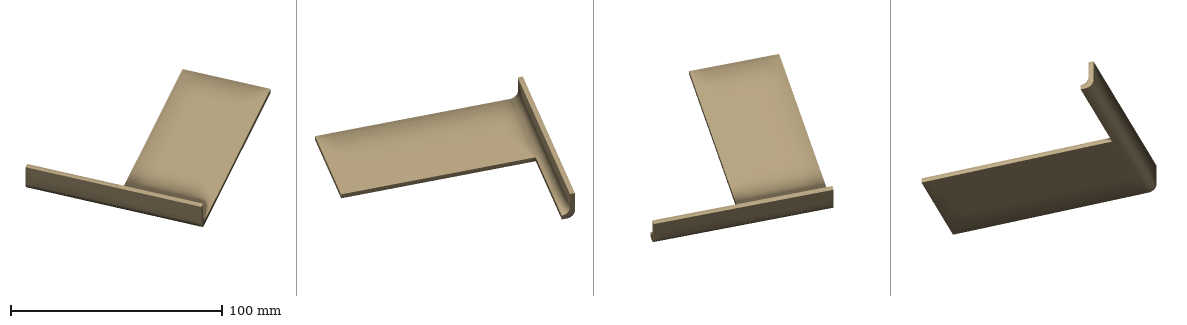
import cadquery as cq

flange_width = 88.0
overall_depth = 102.5
flange_height = 15.0

thickness = 2.5
inner_radius = 4.0
outer_radius = 4.0
bend_depth = thickness + inner_radius

plate_width = flange_width / 2


def make_flange():
    """Upright flange with a rounded bend, extruded along X."""
    return (
        cq.Workplane("YZ")
        .moveTo(bend_depth, 0)
        .lineTo(outer_radius, 0)
        .radiusArc((0, outer_radius), outer_radius)
        .lineTo(0, flange_height)
        .lineTo(thickness, flange_height)
        .lineTo(thickness, bend_depth)
        .radiusArc((bend_depth, thickness), -inner_radius)
        .close()
        .extrude(flange_width)
    )


def make_plate():
    """Flat plate running back from the end of the bend."""
    return cq.Workplane("XY").box(
        plate_width, overall_depth - bend_depth, thickness, centered=False
    ).translate((flange_width - plate_width, bend_depth, 0))


result = make_flange().union(make_plate())